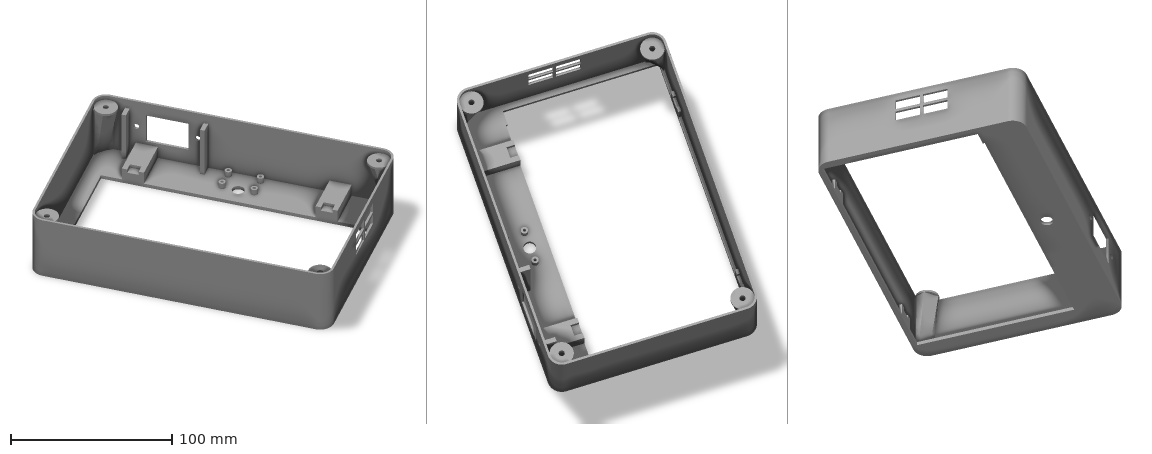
import cadquery as cq
import math

length = 196.0
width = 136.0
height = 43.0
corner_radius = 9.0
wall = 1.5
floor_thickness = 2.5
over = 1.0

inner_x = length / 2 - wall
inner_y = width / 2 - wall
inner_radius = corner_radius - wall

opening_left = -85.5
opening_right = 92.5
opening_front = -64.5
opening_back = 38.5
opening_step_x = 83.0
opening_step = 1.2

post_x = length / 2 - corner_radius
post_y = width / 2 - corner_radius
post_radius = 7.5
post_top = height - 3.0
short_post_top = height - 5.0
post_lip = 1.5
post_back = 8.0
support_top = ((5.6, 4.9), (0.0, 7.4), (-4.0, 7.4))
support_foot = ((-4.5, 3.7), (-3.3, 6.2), (-5.5, 6.2))
post_hole_diameter = 3.8
post_hole_depth = 12.0

block_centers_x = (-64.7, 61.5)
block_width = 14.4
block_top = 11.0
block_slot_width = 7.4
block_slot_depth = 5.5
block_slot_floor = 8.5

inlet_x = -51.5
inlet_z = 23.5
inlet_width = 27.5
inlet_height = 20.0
inlet_screw_spacing = 40.0
inlet_screw_diameter = 3.6
rib_centers_x = (-77.4, -26.2)
rib_thickness = 3.0
rib_end_y = 59.0
rib_top = 36.5

vent_center_y = 2.2
vent_center_z = 29.5
vent_width = 16.0
vent_height = 7.0
vent_pitch_y = 18.0
vent_pitch_z = 9.0

sensor_y = 50.4
sensor_hole_diameter = 8.0
standoff_x = 10.5
standoff_row_spacing = 12.5
standoff_rows_y = (sensor_y, sensor_y + standoff_row_spacing)
standoff_diameter = 4.5
standoff_hole_diameter = 2.0
standoff_height = 4.0


def box(x0, x1, y0, y1, z0, z1):
    """Axis-aligned block between two opposite corners."""
    return cq.Workplane("XY").box(x1 - x0, y1 - y0, z1 - z0, centered=False).translate((x0, y0, z0))


def make_shell():
    """Open-topped tray with rounded vertical corners."""
    outer = cq.Workplane("XY").box(length, width, height, centered=(True, True, False))
    outer = outer.edges("|Z").fillet(corner_radius)
    cavity = (
        cq.Workplane("XY")
        .workplane(offset=floor_thickness)
        .rect(2 * inner_x, 2 * inner_y)
        .extrude(height)
        .edges("|Z")
        .fillet(inner_radius)
    )
    return outer.cut(cavity)


def make_opening():
    """Display window cutter, clear of everything above the floor."""
    top = block_top + over
    side_back = opening_back - opening_step
    main = box(opening_left, opening_step_x, opening_front, opening_back, -over, top)
    side = box(opening_step_x, opening_right, opening_front, side_back, -over, top)
    return main.union(side)


def make_block(center_x, y0, y1):
    half = block_width / 2
    return box(center_x - half, center_x + half, y0, y1, floor_thickness, block_top)


def make_block_slot(center_x, y0, y1):
    half = block_slot_width / 2
    return box(center_x - half, center_x + half, y0, y1, block_slot_floor, block_top + over)


def mirrored_outline(half_outline):
    """Full support outline from one half, closed by a point inside the corner wall."""
    other_half = [(inward, -sideways) for inward, sideways in reversed(half_outline)]
    return other_half + list(half_outline) + [(-post_back, 0.0)]


def make_post(sign_x, sign_y, top):
    """Round disc on a support that narrows and leans into the corner toward the floor."""
    lip_bottom = top - post_lip
    disc = cq.Workplane("XY").workplane(offset=lip_bottom).circle(post_radius).extrude(post_lip)
    support = (
        cq.Workplane("XY")
        .workplane(offset=floor_thickness)
        .polyline(mirrored_outline(support_foot))
        .close()
        .workplane(offset=lip_bottom - floor_thickness)
        .polyline(mirrored_outline(support_top))
        .close()
        .loft(ruled=True)
    )
    inward_angle = math.degrees(math.atan2(-sign_y, -sign_x))
    post = disc.union(support).rotate((0, 0, 0), (0, 0, 1), inward_angle)
    return post.translate((sign_x * post_x, sign_y * post_y, 0))


def make_post_hole(sign_x, sign_y, top):
    return (
        cq.Workplane("XY")
        .workplane(offset=top - post_hole_depth)
        .center(sign_x * post_x, sign_y * post_y)
        .circle(post_hole_diameter / 2)
        .extrude(post_hole_depth + over)
    )


def make_inlet():
    """Cutter for the inlet window and its two screw holes through the back wall."""
    window = box(
        inlet_x - inlet_width / 2, inlet_x + inlet_width / 2,
        inner_y - over, width / 2 + over,
        inlet_z - inlet_height / 2, inlet_z + inlet_height / 2,
    )
    for side in (-1, 1):
        screw = (
            cq.Workplane("XZ", origin=(inlet_x + side * inlet_screw_spacing / 2, width / 2 + over, inlet_z))
            .circle(inlet_screw_diameter / 2)
            .extrude(wall + 2 * over)
        )
        window = window.union(screw)
    return window


def make_rib(center_x):
    half = rib_thickness / 2
    return box(center_x - half, center_x + half, rib_end_y, inner_y + wall / 2, floor_thickness, rib_top)


def make_vents():
    """Two by two window cutters through the +X wall."""
    return (
        cq.Workplane("YZ", origin=(inner_x - over, vent_center_y, vent_center_z))
        .rarray(vent_pitch_y, vent_pitch_z, 2, 2)
        .rect(vent_width, vent_height)
        .extrude(wall + 2 * over)
    )


def make_housing():
    housing = make_shell()

    for center_x in block_centers_x:
        housing = housing.union(make_block(center_x, opening_back, inner_y + wall / 2))
        housing = housing.union(make_block(center_x, -width / 2, opening_front))
        housing = housing.cut(make_block_slot(center_x, opening_back - over, opening_back + block_slot_depth))
        housing = housing.cut(make_block_slot(center_x, -inner_y, opening_front + over))
    for center_x in rib_centers_x:
        housing = housing.union(make_rib(center_x))

    housing = housing.cut(make_opening())
    housing = housing.cut(make_inlet())
    housing = housing.cut(make_vents())
    housing = housing.cut(
        cq.Workplane("XY").center(0, sensor_y).circle(sensor_hole_diameter / 2).extrude(floor_thickness)
    )

    for sign_x in (-1, 1):
        for sign_y in (-1, 1):
            is_front_right = sign_x > 0 and sign_y < 0
            top = short_post_top if is_front_right else post_top
            housing = housing.union(make_post(sign_x, sign_y, top))
            housing = housing.cut(make_post_hole(sign_x, sign_y, top))
    return housing


def make_standoff(x, y):
    return (
        cq.Workplane("XY", origin=(x, y, floor_thickness))
        .circle(standoff_diameter / 2)
        .circle(standoff_hole_diameter / 2)
        .extrude(standoff_height)
    )


housing = make_housing()
standoffs = [make_standoff(x, y) for x in (-standoff_x, standoff_x) for y in standoff_rows_y]

result = cq.Compound.makeCompound([housing.val(), *[standoff.val() for standoff in standoffs]])